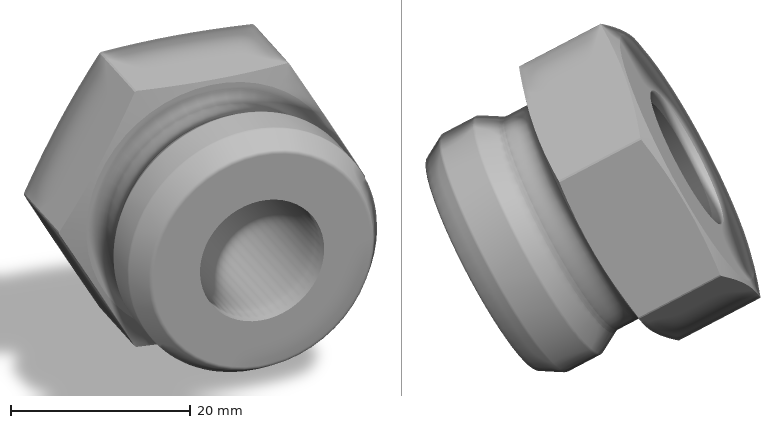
import cadquery as cq
import math

across_flats = 32.0
corner_diameter = 36.83
head_length = 12.0
head_face_diameter = 30.95
head_chamfer_angle = 15.0

total_length = 26.0
neck_diameter = 26.9
neck_fillet = 1.18
collar_diameter = 30.0
collar_start = 18.85
collar_end = 23.2
cone_angle = 30.0
cone_root_radius = 1.1
edge_fillet = 0.5

bore_diameter = 14.95
bore_mouth_diameter = 16.85


def revolve_about_x(outline):
    """Revolve a closed outline of (x, radius) about the X axis."""
    return outline.close().revolve(360, (0, 0, 0), (1, 0, 0))


def make_head():
    corner_radius = corner_diameter / 2
    face_radius = head_face_diameter / 2
    chamfer_length = (corner_radius - face_radius) * math.tan(math.radians(head_chamfer_angle))
    hexagon = (
        cq.Workplane("YZ")
        .polygon(6, across_flats / math.cos(math.pi / 6))
        .extrude(head_length)
    )
    turned_envelope = revolve_about_x(
        cq.Workplane("XY")
        .moveTo(0, 0)
        .lineTo(0, face_radius)
        .lineTo(chamfer_length, corner_radius)
        .lineTo(head_length - chamfer_length, corner_radius)
        .lineTo(head_length, face_radius)
        .lineTo(head_length, 0)
    )
    return hexagon.intersect(turned_envelope)


def circle_at(position):
    """Select the circular edge lying at one position along the axis."""
    half_width = 0.05
    return cq.selectors.BoxSelector(
        (position - half_width, -collar_diameter, -collar_diameter),
        (position + half_width, collar_diameter, collar_diameter),
        boundingbox=True,
    )


def make_collar():
    neck_radius = neck_diameter / 2
    collar_radius = collar_diameter / 2
    cone_slope = math.tan(math.radians(cone_angle))
    cone_start = collar_start - (collar_radius - neck_radius) / cone_slope
    end_radius = collar_radius - (total_length - collar_end) * cone_slope
    profile = (
        cq.Workplane("XY")
        .moveTo(head_length, 0)
        .lineTo(head_length, neck_radius)
        .lineTo(cone_start, neck_radius)
        .lineTo(collar_start, collar_radius)
        .lineTo(collar_end, collar_radius)
        .lineTo(total_length, end_radius)
        .lineTo(total_length, 0)
    )
    collar = revolve_about_x(profile)
    collar = collar.edges(circle_at(cone_start)).fillet(cone_root_radius)
    for edge_position in (collar_start, collar_end, total_length):
        collar = collar.edges(circle_at(edge_position)).fillet(edge_fillet)
    return collar


def add_neck_fillet(body):
    """Blend the neck into the back face of the head."""
    neck_radius = neck_diameter / 2
    blend = revolve_about_x(
        cq.Workplane("XY")
        .moveTo(head_length, 0)
        .lineTo(head_length, neck_radius + neck_fillet)
        .radiusArc((head_length + neck_fillet, neck_radius), -neck_fillet)
        .lineTo(head_length + neck_fillet, 0)
    )
    return body.union(blend)


def make_bore():
    bore_radius = bore_diameter / 2
    mouth_radius = bore_mouth_diameter / 2
    return revolve_about_x(
        cq.Workplane("XY")
        .moveTo(0, 0)
        .lineTo(0, mouth_radius)
        .lineTo(mouth_radius - bore_radius, bore_radius)
        .lineTo(total_length, bore_radius)
        .lineTo(total_length, 0)
    )


body = make_head().union(make_collar())
result = add_neck_fillet(body).cut(make_bore())